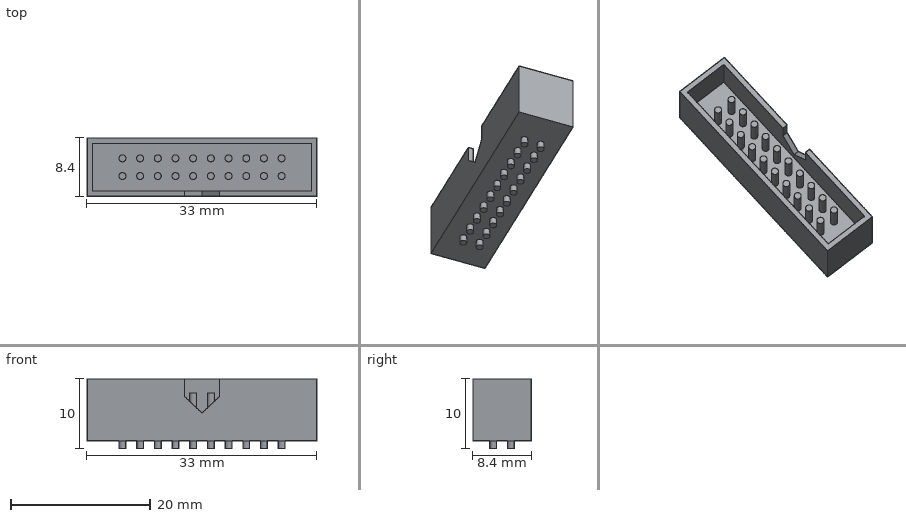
import cadquery as cq

body_length = 33.0
body_width = 8.4
total_height = 10.0
wall = 0.8

tail_length = 1.1
body_height = total_height - tail_length
cavity_depth = 6.0

pitch = 2.54
columns = 10
rows = 2
pin_diameter = 1.0
pin_recess = 2.0
pin_length = total_height - pin_recess

notch_width = 5.0
notch_side_height = 2.54
notch_depth = 4.9


def make_housing():
    """Rectangular block with an open-topped cavity."""
    block = (
        cq.Workplane("XY")
        .workplane(offset=tail_length)
        .rect(body_length, body_width)
        .extrude(body_height)
    )
    cavity = (
        cq.Workplane("XY")
        .workplane(offset=total_height - cavity_depth)
        .rect(body_length - 2 * wall, body_width - 2 * wall)
        .extrude(cavity_depth)
    )
    return block.cut(cavity)


def make_notch():
    """Cutter for the pointed keying notch, one wall thick."""
    half_width = notch_width / 2
    shoulder_z = total_height - notch_side_height
    return (
        cq.Workplane("XZ", origin=(0, -body_width / 2, 0))
        .moveTo(-half_width, total_height)
        .lineTo(-half_width, shoulder_z)
        .lineTo(0, total_height - notch_depth)
        .lineTo(half_width, shoulder_z)
        .lineTo(half_width, total_height)
        .close()
        .extrude(-wall)
    )


def make_pins():
    """Grid of round pins running from the tails up into the cavity."""
    return (
        cq.Workplane("XY")
        .rarray(pitch, pitch, columns, rows)
        .circle(pin_diameter / 2)
        .extrude(pin_length)
    )


result = make_housing().cut(make_notch()).union(make_pins())